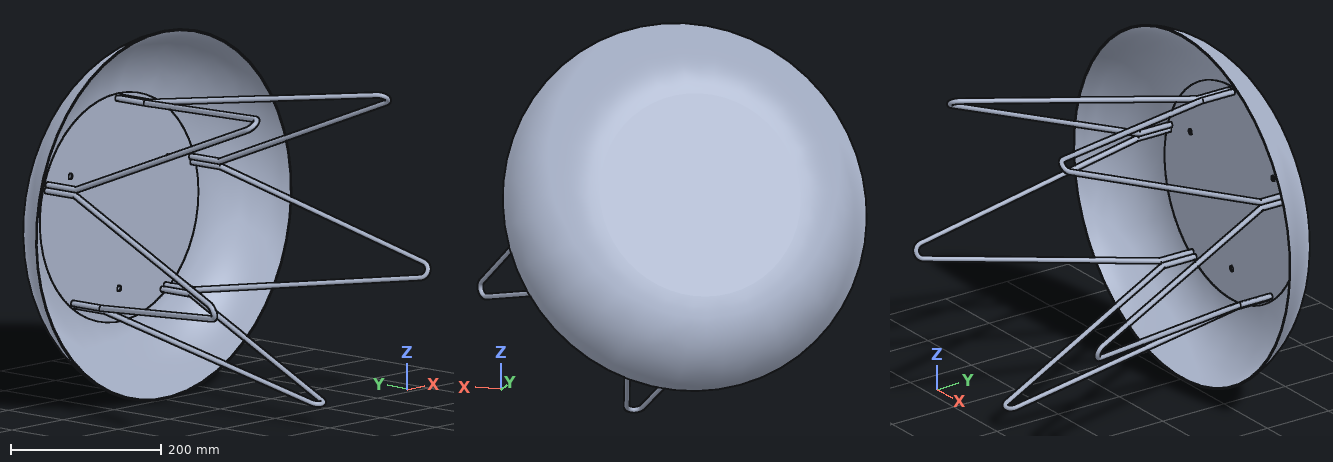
import cadquery as cq
import math

RIM_RADIUS = 250.0
SHELL_DEPTH = 85.0
SHELL_THICKNESS = 2.0
CROWN_RADIUS = 138.0

PLATE_RADIUS = 155.0
PLATE_THICKNESS = 2.0
SCREW_HOLE_COUNT = 3
SCREW_HOLE_DIAMETER = 8.0
SCREW_HOLE_CIRCLE = 110.0

LEG_COUNT = 5
ROD_DIAMETER = 8.0
TOTAL_HEIGHT = 375.0
BEND_DEPTH = 56.5
ROOT_CIRCLE = 148.5
TIP_CIRCLE = 219.5
TIP_BEND_RADIUS = 11.0

WALL_RADIUS = ((RIM_RADIUS - CROWN_RADIUS) ** 2 + SHELL_DEPTH**2) / (2 * SHELL_DEPTH)
INNER_WALL_RADIUS = WALL_RADIUS - SHELL_THICKNESS
PLATE_FACE_DEPTH = SHELL_THICKNESS + PLATE_THICKNESS


def wall_end(arc_radius):
    """Point (radius, Y) where a wall arc of the given radius meets the rim plane."""
    reach = math.sqrt(arc_radius**2 - (WALL_RADIUS - SHELL_DEPTH) ** 2)
    return CROWN_RADIUS + reach, -SHELL_DEPTH


def wall_middle(arc_radius):
    """Point (radius, Y) halfway along a wall arc from the crown to the rim plane."""
    half_angle = math.acos((WALL_RADIUS - SHELL_DEPTH) / arc_radius) / 2
    return (
        CROWN_RADIUS + arc_radius * math.sin(half_angle),
        -WALL_RADIUS + arc_radius * math.cos(half_angle),
    )


def make_shell():
    return (
        cq.Workplane("ZY")
        .moveTo(0, 0)
        .lineTo(CROWN_RADIUS, 0)
        .threePointArc(wall_middle(WALL_RADIUS), wall_end(WALL_RADIUS))
        .lineTo(*wall_end(INNER_WALL_RADIUS))
        .threePointArc(wall_middle(INNER_WALL_RADIUS), (CROWN_RADIUS, -SHELL_THICKNESS))
        .lineTo(0, -SHELL_THICKNESS)
        .close()
        .revolve(360, (0, 0, 0), (0, 1, 0))
    )


def make_plate(shell):
    """Disc against the inside of the crown, its edge relieved where the shell wall curves down."""
    plate_plane = cq.Workplane("XZ", origin=(0, -SHELL_THICKNESS, 0))
    disc = plate_plane.circle(PLATE_RADIUS).extrude(PLATE_THICKNESS)
    holes = (
        plate_plane.polarArray(SCREW_HOLE_CIRCLE, -90, 360, SCREW_HOLE_COUNT)
        .circle(SCREW_HOLE_DIAMETER / 2)
        .extrude(PLATE_THICKNESS)
    )
    return disc.cut(holes).cut(shell)


def make_leg():
    """Leg whose tip points to -Z: two upright roots, two splayed rods and a round tip bend."""
    rod_radius = ROD_DIAMETER / 2
    half_pitch = math.pi / LEG_COUNT
    root_x = ROOT_CIRCLE * math.sin(half_pitch) - rod_radius * math.cos(half_pitch)
    root_z = -ROOT_CIRCLE * math.cos(half_pitch) - rod_radius * math.sin(half_pitch)

    outward = TIP_CIRCLE + root_z
    bend_drop = TOTAL_HEIGHT - rod_radius - BEND_DEPTH
    slope_length = math.hypot(outward, bend_drop)

    def slope_point(x, along):
        share = along / slope_length
        return cq.Vector(x, -BEND_DEPTH - bend_drop * share, root_z - outward * share)

    bend_centre = slope_length - TIP_BEND_RADIUS
    centre_distance = math.hypot(root_x, bend_centre)
    tangent_angle = math.atan2(root_x, bend_centre) - math.asin(TIP_BEND_RADIUS / centre_distance)
    tangent_x = TIP_BEND_RADIUS * math.cos(tangent_angle)
    tangent_along = bend_centre + TIP_BEND_RADIUS * math.sin(tangent_angle)

    left_top = cq.Vector(-root_x, -PLATE_FACE_DEPTH, root_z)
    right_top = cq.Vector(root_x, -PLATE_FACE_DEPTH, root_z)
    left_bend = slope_point(-root_x, 0)
    right_bend = slope_point(root_x, 0)
    left_tangent = slope_point(-tangent_x, tangent_along)
    right_tangent = slope_point(tangent_x, tangent_along)
    path = cq.Wire.assembleEdges(
        [
            cq.Edge.makeLine(left_top, left_bend),
            cq.Edge.makeLine(left_bend, left_tangent),
            cq.Edge.makeThreePointArc(left_tangent, slope_point(0, slope_length), right_tangent),
            cq.Edge.makeLine(right_tangent, right_bend),
            cq.Edge.makeLine(right_bend, right_top),
        ]
    )
    section = cq.Workplane("XZ", origin=left_top.toTuple()).circle(rod_radius)
    return section.sweep(cq.Workplane(path), transition="right")


shell = make_shell()
plate = make_plate(shell)
leg = make_leg()
legs = [
    leg.rotate((0, 0, 0), (0, 1, 0), number * 360 / LEG_COUNT).val() for number in range(LEG_COUNT)
]

result = cq.Compound.makeCompound([shell.val(), plate.val(), *legs])